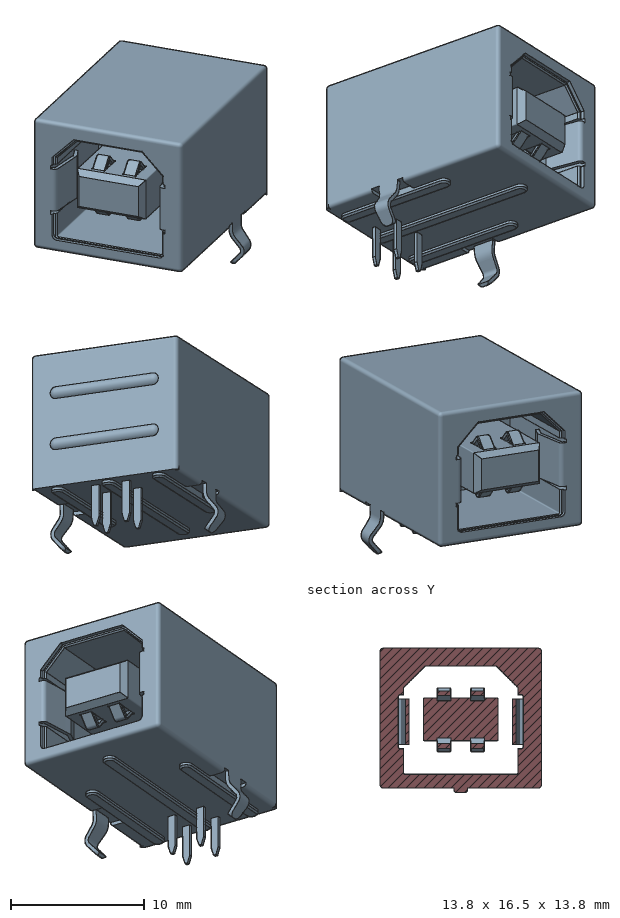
import cadquery as cq
import math


body_width = 12.11
body_depth = 16.27
body_height = 10.5
edge_radius = 0.3
sheet = 0.3

opening_half_width = 4.52
opening_bottom = 0.94
opening_top = 9.37
opening_corner_height = 7.62
opening_top_half_width = 2.75
opening_fillet = 0.36
cavity_fillet = 0.1
rim_step = 0.25
rim_step_bottom = 0.12
lead_in_width = 0.12
lead_in_drop = 0.05
lead_in_depth = 0.12
cavity_depth = 9.08

groove_half_width = 4.65
groove_bottom = 2.97
groove_top = 6.98
groove_fillet = 0.1
spring_gap = 0.3
spring_bend_start = 4.47
spring_bend_radius = 0.33
spring_slope = 7.5
spring_ramp_end_x = 3.86
spring_peak = (3.78, 3.0)
spring_tail_end = (4.12, 3.96)

tongue_width = 5.58
tongue_bottom = 3.55
tongue_top = 6.75
tongue_front = 0.2
tongue_chamfer = 0.38
tongue_chamfer_depth = 0.56
tongue_fillet = 0.08
contact_spacing = 2.5
contact_width = 1.04
contact_rise_upper = 0.78
contact_rise_lower = 0.85
contact_run = 0.9
contact_front = 1.24
contact_peak_radius = 0.33
contact_thickness = 0.28
contact_chamfer = 0.07
contact_slot_depth = 0.2
contact_slot_lead = 0.13

pin_spacing_x = 2.54
pin_rows = (13.07, 15.06)
pin_width = 0.63
pin_thickness = 0.25
pin_tip_width = 0.21
pin_length = 3.14
pin_taper_length = 0.61

rail_width = 1.04
rail_height = 0.33
rail_rear = 16
rail_chamfer = 0.13
side_rail_x = 4.17
side_rail_front = 6.07
middle_rail_front = 2.03

clip_y = 10.36
clip_root_width = 1.72
clip_end_width = 1.07
clip_end_radius = 0.43
clip_bottom = -3.3
clip_taper_end = -2.8
clip_knee = -0.71
clip_elbow = (6.93, -1.96)
clip_tip = (5.84, -3.2)
clip_knee_radius = 0.99
clip_elbow_radius = 0.53
relief_front = 9.03
relief_rear = 11.91

bead_heights = (3.3, 7.31)
bead_radius = 0.58
bead_rise = 0.23
bead_half_length = 4.01


def box(x0, x1, y0, y1, z0, z1):
    return cq.Workplane("XY").box(x1 - x0, y1 - y0, z1 - z0, centered=False).translate((x0, y0, z0))


def mirror_pair(half):
    return half.union(half.mirror("YZ"))


def opening_outline(y, side_step, bottom_step, lower_fillet):
    """Opening at depth y, shrunk by the given steps: sloped upper corners, rounded lower ones."""
    half = opening_half_width - side_step
    bottom = opening_bottom + bottom_step
    corner_shift = side_step * math.tan(math.pi / 8)
    top_half = opening_top_half_width - corner_shift
    corner_height = opening_corner_height - corner_shift
    r = lower_fillet
    backward = cq.Plane(origin=(0, y, 0), xDir=(-1, 0, 0), normal=(0, 1, 0))
    return (
        cq.Workplane(backward)
        .moveTo(-half + r, bottom)
        .lineTo(half - r, bottom)
        .tangentArcPoint((half, bottom + r), relative=False)
        .lineTo(half, corner_height)
        .lineTo(top_half, opening_top - side_step)
        .lineTo(-top_half, opening_top - side_step)
        .lineTo(-half, corner_height)
        .lineTo(-half, bottom + r)
        .tangentArcPoint((-half + r, bottom), relative=False)
        .close()
    )


def shell():
    """Rounded block whose rear plate runs square down to the underside."""
    half = body_width / 2
    block = box(-half, half, 0, body_depth, 0, body_height).edges().fillet(edge_radius)
    plate = box(-half, half, 0, body_depth, 0, body_height)
    plate = plate.edges("|Z or >Z").fillet(edge_radius)
    plate = plate.intersect(box(-half, half, body_depth - sheet, body_depth, 0, body_height))
    return block.union(plate)


def socket_cavity():
    opening = opening_outline(0, 0, 0, opening_fillet).extrude(sheet)
    cavity = opening_outline(0, rim_step, rim_step_bottom, cavity_fillet).extrude(cavity_depth)
    lead_in_front = opening_outline(
        sheet, rim_step - lead_in_width, rim_step_bottom - lead_in_drop, cavity_fillet
    )
    lead_in_rear = opening_outline(sheet + lead_in_depth, rim_step, rim_step_bottom, cavity_fillet)
    lead_in = cq.Solid.makeLoft([lead_in_front.val(), lead_in_rear.val()], True)
    grooves = box(-groove_half_width, groove_half_width, 0, cavity_depth, groove_bottom, groove_top)
    grooves = grooves.edges("|Y").fillet(groove_fillet)
    return opening.union(cavity).union(cq.Workplane(lead_in)).union(grooves)


def side_springs():
    """Strips bent inward from the front face that slope toward the plug and flare at the end."""
    bottom = groove_bottom + spring_gap
    top = groove_top - spring_gap
    root = groove_half_width + sheet
    outer_r = spring_bend_radius
    inner_r = outer_r - sheet
    sweep = math.radians(90 - spring_slope)

    def bend_point(radius, angle):
        """Point on the bend, turned by angle from where it leaves the front face."""
        x = spring_bend_start - radius * math.sin(angle)
        y = outer_r - radius * math.cos(angle)
        return (x, y)

    def thickened(point):
        return (point[0] + sheet, point[1])

    bend_end = bend_point(outer_r, sweep)
    ramp_run = (bend_end[0] - spring_ramp_end_x) / math.tan(math.radians(spring_slope))
    ramp_end = (spring_ramp_end_x, bend_end[1] + ramp_run)
    half = (
        cq.Workplane("XY", origin=(0, 0, bottom))
        .moveTo(root, 0)
        .lineTo(spring_bend_start, 0)
        .threePointArc(bend_point(outer_r, sweep / 2), bend_end)
        .lineTo(*ramp_end)
        .lineTo(*spring_peak)
        .lineTo(*spring_tail_end)
        .lineTo(*thickened(spring_tail_end))
        .lineTo(*thickened(spring_peak))
        .lineTo(*thickened(ramp_end))
        .lineTo(*bend_point(inner_r, sweep))
        .threePointArc(bend_point(inner_r, sweep / 2), bend_point(inner_r, 0))
        .lineTo(root, sheet)
        .close()
        .extrude(top - bottom)
    )
    return mirror_pair(half)


def tongue():
    """Rounded bar with a blunt pyramid nose."""
    shoulder = tongue_front + tongue_chamfer_depth
    height = tongue_top - tongue_bottom
    middle = (tongue_top + tongue_bottom) / 2
    backward = cq.Plane(origin=(0, shoulder, middle), xDir=(-1, 0, 0), normal=(0, 1, 0))
    bar = cq.Workplane(backward).rect(tongue_width, height).extrude(cavity_depth - shoulder)
    nose = (
        cq.Workplane(backward)
        .rect(tongue_width, height)
        .workplane(offset=-tongue_chamfer_depth)
        .rect(tongue_width - 2 * tongue_chamfer, height - 2 * tongue_chamfer)
        .loft(ruled=True)
    )
    rounded = (
        cq.Workplane(backward)
        .workplane(offset=-tongue_chamfer_depth)
        .rect(tongue_width, height)
        .extrude(cavity_depth - tongue_front)
        .edges("|Y")
        .fillet(tongue_fillet)
    )
    return bar.union(nose).intersect(rounded)


def contact(rise):
    """Bent strip standing on the XY plane, its front ramp starting at contact_front."""
    rear = contact_front + 2 * contact_run
    middle = contact_front + contact_run
    slope = math.atan(rise / contact_run)
    apex = rise + contact_peak_radius * (1 / math.cos(slope) - 1)
    sunk = contact_slot_depth
    sunk_run = sunk * contact_run / apex
    slope_length = math.hypot(contact_run, apex)
    drop = contact_thickness * slope_length / contact_run
    inset = contact_thickness * slope_length / apex
    strip = (
        cq.Workplane("YZ", origin=(-contact_width / 2, 0, 0))
        .moveTo(contact_front - sunk_run, -sunk)
        .lineTo(middle, apex)
        .lineTo(rear + sunk_run, -sunk)
        .lineTo(rear + sunk_run - inset, -sunk)
        .lineTo(middle, apex - drop)
        .lineTo(contact_front - sunk_run + inset, -sunk)
        .close()
        .extrude(contact_width)
    )
    strip = strip.edges(">Z").fillet(contact_peak_radius)
    ramp = strip.faces(cq.selectors.NearestToPointSelector((0, middle - contact_run / 2, apex / 2)))
    return ramp.edges("not |X").chamfer(contact_chamfer)


def contact_slot():
    front = contact_front - contact_slot_lead
    rear = contact_front + 2 * contact_run + contact_slot_lead
    return box(-contact_width / 2, contact_width / 2, front, rear, -contact_slot_depth, 0)


def tongue_with_contacts():
    upper = contact(contact_rise_upper)
    lower = contact(contact_rise_lower).mirror("XY")
    upper_slot = contact_slot()
    lower_slot = upper_slot.mirror("XY")
    body = tongue()
    for x in (-contact_spacing / 2, contact_spacing / 2):
        body = body.cut(upper_slot.translate((x, 0, tongue_top)))
        body = body.cut(lower_slot.translate((x, 0, tongue_bottom)))
        body = body.union(upper.translate((x, 0, tongue_top)))
        body = body.union(lower.translate((x, 0, tongue_bottom)))
    return body


def pin(x, y):
    shoulder = -pin_length + pin_taper_length
    return (
        cq.Workplane("XZ", origin=(x, y + pin_thickness / 2, 0))
        .moveTo(-pin_width / 2, sheet)
        .lineTo(-pin_width / 2, shoulder)
        .lineTo(-pin_tip_width / 2, -pin_length)
        .lineTo(pin_tip_width / 2, -pin_length)
        .lineTo(pin_width / 2, shoulder)
        .lineTo(pin_width / 2, sheet)
        .close()
        .extrude(pin_thickness)
    )


def rail(x, front):
    length = rail_rear - front
    return (
        cq.Workplane("XY", origin=(x, front + length / 2, -rail_height))
        .slot2D(length, rail_width, 90)
        .extrude(rail_height + sheet)
        .faces("<Z")
        .edges()
        .chamfer(rail_chamfer)
    )


def clip_reliefs():
    inner = side_rail_x + rail_width / 2
    half = box(inner, body_width / 2, relief_front, relief_rear, 0, edge_radius)
    return mirror_pair(half)


def offset_corners(path, distance):
    """Corners of the line that runs beside the path, to its left when distance is positive."""
    directions = []
    for start, end in zip(path, path[1:]):
        length = math.dist(start, end)
        directions.append(((end[0] - start[0]) / length, (end[1] - start[1]) / length))
    corners = []
    for (x, z), before, after in zip(path, directions[:1] + directions, directions + directions[-1:]):
        scale = distance / (1 + before[0] * after[0] + before[1] * after[1])
        corners.append((x - (before[1] + after[1]) * scale, z + (before[0] + after[0]) * scale))
    return corners


def clips():
    """Bent strips down from the side walls, tapering to a rounded end."""
    mid_x = body_width / 2 - sheet / 2
    root_z = 2 * edge_radius
    path = [(mid_x, root_z), (mid_x, clip_knee), clip_elbow, clip_tip]
    outer_corners = offset_corners(path, sheet / 2)
    inner_corners = offset_corners(path, -sheet / 2)
    strip = (
        cq.Workplane("XZ", origin=(0, clip_y + clip_root_width / 2, 0))
        .polyline(outer_corners + inner_corners[::-1])
        .close()
        .extrude(clip_root_width)
    )
    bends = (
        (outer_corners[1], clip_knee_radius - sheet / 2),
        (inner_corners[1], clip_knee_radius + sheet / 2),
        (outer_corners[2], clip_elbow_radius + sheet / 2),
        (inner_corners[2], clip_elbow_radius - sheet / 2),
    )
    for (x, z), radius in bends:
        corner_edge = cq.selectors.NearestToPointSelector((x, clip_y, z))
        strip = strip.edges("|Y").edges(corner_edge).fillet(radius)

    outline = (
        cq.Workplane("YZ", origin=(mid_x - clip_root_width, clip_y, 0))
        .moveTo(-clip_root_width / 2, root_z)
        .lineTo(-clip_root_width / 2, 0)
        .lineTo(-clip_end_width / 2, clip_taper_end)
        .lineTo(-clip_end_width / 2, clip_bottom)
        .lineTo(clip_end_width / 2, clip_bottom)
        .lineTo(clip_end_width / 2, clip_taper_end)
        .lineTo(clip_root_width / 2, 0)
        .lineTo(clip_root_width / 2, root_z)
        .close()
        .extrude(2 * clip_root_width)
        .faces("<Z").edges("|X").fillet(clip_end_radius)
    )
    return mirror_pair(strip.intersect(outline))


def rear_bead(z):
    centre_y = body_depth + bead_rise - bead_radius
    bead = cq.Workplane("YZ", origin=(-bead_half_length, centre_y, z)).circle(bead_radius)
    bead = bead.extrude(2 * bead_half_length)
    for x in (-bead_half_length, bead_half_length):
        bead = bead.union(cq.Workplane("XY").sphere(bead_radius).translate((x, centre_y, z)))
    return bead


part = shell().cut(socket_cavity()).cut(clip_reliefs())
part = part.union(side_springs()).union(tongue_with_contacts()).union(clips())
for pin_x in (-pin_spacing_x / 2, pin_spacing_x / 2):
    for pin_y in pin_rows:
        part = part.union(pin(pin_x, pin_y))
for rail_x, rail_front in (
    (-side_rail_x, side_rail_front),
    (0, middle_rail_front),
    (side_rail_x, side_rail_front),
):
    part = part.union(rail(rail_x, rail_front))
for bead_z in bead_heights:
    part = part.union(rear_bead(bead_z))

result = part